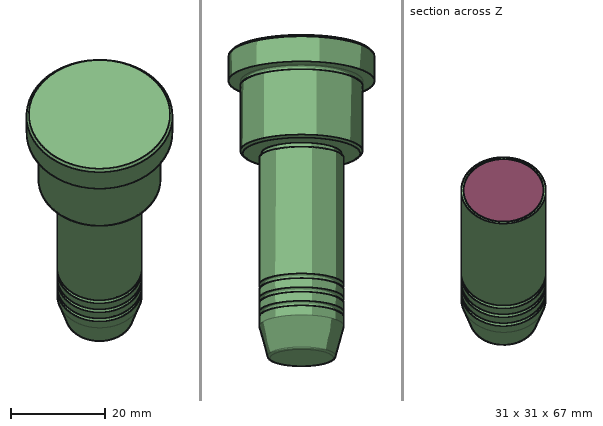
import cadquery as cq
import math

length = 67.0
head_diameter = 31.0
body_diameter = 26.0
pin_diameter = 18.0
neck_diameter = 17.0

head_height = 6.0
shoulder_depth = 22.0
head_bottom = length - head_height
body_bottom = length - shoulder_depth
neck_height = 1.0
taper_height = 7.0
taper_angle = 15.0

edge_chamfer = 0.55
tip_fillet = 0.55
groove_width = 1.0
first_groove_height = 9.5
groove_pitch = 3.0
groove_count = 3

tip_diameter = pin_diameter - 2 * taper_height * math.tan(math.radians(taper_angle))


def cylinder(diameter, bottom, top):
    return cq.Workplane("XY").workplane(offset=bottom).circle(diameter / 2).extrude(top - bottom)


def round_groove(diameter, center):
    """Ring cutter for a round-bottomed groove around a cylinder."""
    half_width = groove_width / 2
    radius = diameter / 2
    return (
        cq.Workplane("XZ")
        .moveTo(radius, center - half_width)
        .threePointArc((radius - half_width, center), (radius, center + half_width))
        .close()
        .revolve(360, (0, 0), (0, 1))
    )


def tapered_tip():
    tip = (
        cq.Workplane("XZ")
        .polyline([(0, 0), (tip_diameter / 2, 0), (pin_diameter / 2, taper_height), (0, taper_height)])
        .close()
        .revolve(360, (0, 0), (0, 1))
    )
    return tip.faces("<Z").edges().fillet(tip_fillet)


head = cylinder(head_diameter, head_bottom, length).faces(">Z").edges().chamfer(edge_chamfer)
body = cylinder(body_diameter, body_bottom, head_bottom).faces("<Z").edges().chamfer(edge_chamfer)
neck = cylinder(neck_diameter, body_bottom - neck_height, body_bottom)
pin = cylinder(pin_diameter, taper_height, body_bottom - neck_height)

result = head.union(body).union(neck).union(pin).union(tapered_tip())

result = result.cut(round_groove(body_diameter, head_bottom - groove_width / 2))

for index in range(groove_count):
    result = result.cut(round_groove(pin_diameter, first_groove_height + index * groove_pitch))